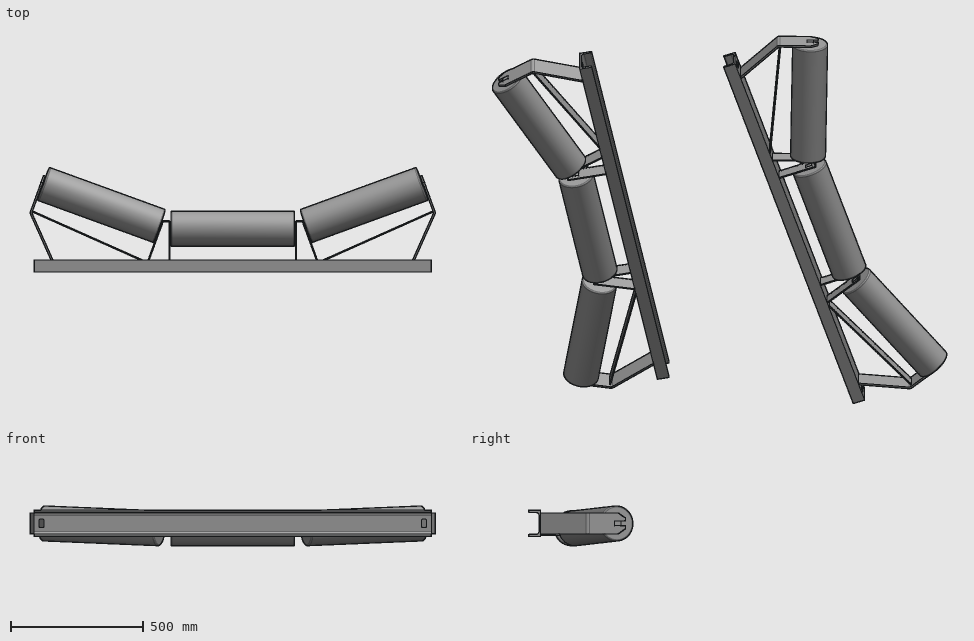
import cadquery as cq
import math


outer_width = 1531.0

channel_length = 1500.0
channel_height = 100.0
flange_depth = 46.0
web_thickness = 6.0
flange_thickness = 9.0
root_radius = 10.0
tip_radius = 5.0
slot_width = 18.0
slot_height = 32.0
slot_corner = 5.0
slot_from_middle = 723.0

roller_diameter = 133.0
roller_length = 467.0
roller_end_gap = 3.0
roller_edge_radius = 5.0
trough_angle = 20.0
middle_axis_y = 118.0
roller_z_drop = 18.0
shaft_across_flats = 18.0
shaft_depth = 25.0

outer_height = 80.0
outer_thickness = 8.0
bend_radius = 17.0
bend_y = 178.0
outer_foot_x = 687.0
outer_leg_length = 152.0
shaft_along_leg = 121.0
tip_cut_length = 28.0
tip_cut_height = 18.0
inner_height = 57.0
inner_middle_z = -17.0
inner_thickness = 5.0
inner_top_y = 148.0
inner_bend_radius = 6.0
brace_height = 50.0
brace_thickness = 5.0
brace_foot_x = 340.0
brace_angle = 24.0

sin_trough = math.sin(math.radians(trough_angle))
cos_trough = math.cos(math.radians(trough_angle))
tan_trough = sin_trough / cos_trough
leg_direction = cq.Vector(sin_trough, cos_trough, 0)
inward = cq.Vector(cos_trough, -sin_trough, 0)

lean_angle = math.degrees(math.atan((outer_width / 2 - outer_foot_x) / bend_y))
half_turn = math.radians((trough_angle + lean_angle) / 2)
bend_corner_x = -(outer_width / 2 + bend_radius * (1 / math.cos(half_turn) - 1))
bend_corner = cq.Vector(bend_corner_x, bend_y, 0)

shaft_reach_outer = roller_end_gap + outer_thickness
shaft_reach_inner = roller_end_gap + inner_thickness
tilt = math.asin(roller_z_drop / roller_length)
roller_axis = inward * math.cos(tilt) + cq.Vector(0, 0, -math.sin(tilt))
side_roller_start = bend_corner + leg_direction * shaft_along_leg + inward * shaft_reach_outer
side_plane = cq.Plane(origin=side_roller_start, xDir=leg_direction, normal=roller_axis)
middle_plane = cq.Plane(
    origin=(-roller_length / 2, middle_axis_y, -roller_z_drop), xDir=(0, 1, 0), normal=(1, 0, 0)
)


def upright_strip(outline, height, middle_z=0.0):
    """Extrude a plan outline to a height centred on middle_z."""
    base = cq.Workplane("XY").workplane(offset=middle_z - height / 2)
    return base.polyline(outline).close().extrude(height)


def shaft(plane, start, end):
    """Flatted shaft between two distances along a roller's axis."""
    section = cq.Workplane(plane).workplane(offset=start).rect(shaft_depth, shaft_across_flats)
    return section.extrude(end - start)


def make_roller(plane, start_reach, end_reach):
    drum = cq.Workplane(plane).circle(roller_diameter / 2).extrude(roller_length)
    drum = drum.edges().fillet(roller_edge_radius)
    return drum.union(shaft(plane, -start_reach, roller_length + end_reach))


def make_channel():
    half_height = channel_height / 2
    inside_z = half_height - flange_thickness
    section = [
        (0, -half_height),
        (0, half_height),
        (-flange_depth, half_height),
        (-flange_depth, inside_z),
        (-web_thickness, inside_z),
        (-web_thickness, -inside_z),
        (-flange_depth, -inside_z),
        (-flange_depth, -half_height),
    ]
    bar = cq.Workplane("YZ").polyline(section).close().extrude(channel_length / 2, both=True)
    for y, z, radius in ((-web_thickness, inside_z, root_radius), (-flange_depth, inside_z, tip_radius)):
        for level in (z, -z):
            bar = bar.edges(cq.NearestToPointSelector((0, y, level))).fillet(radius)
    slots = (
        cq.Workplane("XZ")
        .pushPoints([(-slot_from_middle, 0), (slot_from_middle, 0)])
        .rect(slot_width, slot_height)
        .extrude(web_thickness)
        .edges("|Y")
        .fillet(slot_corner)
    )
    return bar.cut(slots)


def make_outer_bracket():
    """Left outer bracket: leaning foot, bend, and a leg square to the roller in plan."""
    bisector_turn = math.radians((trough_angle - lean_angle) / 2)
    bisector = cq.Vector(math.cos(bisector_turn), -math.sin(bisector_turn), 0)
    inner_corner = bend_corner + bisector * (outer_thickness / math.cos(half_turn))
    tip = bend_corner + leg_direction * outer_leg_length
    inner_tip = tip + inward * outer_thickness
    foot_width = outer_thickness / math.cos(math.radians(lean_angle))
    outline = [
        (-outer_foot_x, 0),
        (bend_corner.x, bend_corner.y),
        (tip.x, tip.y),
        (inner_tip.x, inner_tip.y),
        (inner_corner.x, inner_corner.y),
        (foot_width - outer_foot_x, 0),
    ]
    strip = upright_strip(outline, outer_height)
    inside_radius = bend_radius - outer_thickness
    for corner, radius in ((inner_corner, inside_radius), (bend_corner, bend_radius)):
        strip = strip.edges(cq.NearestToPointSelector(corner.toTuple())).fillet(radius)

    tip_plane = cq.Plane(origin=tip, xDir=leg_direction, normal=inward)
    for half_height in (outer_height / 2, -outer_height / 2):
        cut_z = half_height - math.copysign(tip_cut_height, half_height)
        triangle = [(-tip_cut_length, half_height), (0, half_height), (0, cut_z)]
        bevel = cq.Workplane(tip_plane).polyline(triangle).close().extrude(outer_thickness)
        strip = strip.cut(bevel)

    slot_length = outer_leg_length
    slot = (
        cq.Workplane(side_plane)
        .workplane(offset=-2 * shaft_reach_outer)
        .center((slot_length - shaft_depth) / 2, 0)
        .rect(slot_length, shaft_across_flats)
        .extrude(2 * shaft_reach_outer)
    )
    return strip.cut(slot)


def make_inner_bracket():
    """Left inner bracket: leg square to the side roller, top, and upright leg by the middle roller."""
    upright_x = -(roller_length / 2 + roller_end_gap)
    roller_span = roller_length * math.cos(tilt) + shaft_reach_outer + roller_end_gap
    sloped_face = bend_corner + inward * roller_span
    foot_x = sloped_face.x - sloped_face.y * tan_trough
    foot_width = inner_thickness / cos_trough
    under_y = inner_top_y - inner_thickness
    outline = [
        (foot_x, 0),
        (foot_x + inner_top_y * tan_trough, inner_top_y),
        (upright_x, inner_top_y),
        (upright_x, 0),
        (upright_x - inner_thickness, 0),
        (upright_x - inner_thickness, under_y),
        (foot_x + foot_width + under_y * tan_trough, under_y),
        (foot_x + foot_width, 0),
    ]
    strip = upright_strip(outline, inner_height, inner_middle_z)
    for corner in outline[1:3]:
        bend = cq.NearestToPointSelector((*corner, inner_middle_z))
        strip = strip.edges(bend).fillet(inner_bend_radius)
    hole_reach = 2 * shaft_reach_inner
    strip = strip.cut(shaft(side_plane, roller_length, roller_length + hole_reach))
    return strip.cut(shaft(middle_plane, -hole_reach, 0))


def make_brace(bracket):
    """Left brace: from the channel web up into the bend of the outer bracket."""
    slope = math.radians(brace_angle)
    foot_width = brace_thickness / math.sin(slope)
    reach = outer_width / 2 - outer_thickness / 2 - brace_foot_x
    rise = reach * math.tan(slope)
    outline = [
        (-brace_foot_x, 0),
        (-brace_foot_x - foot_width, 0),
        (-brace_foot_x - reach, rise - foot_width * math.tan(slope)),
        (-brace_foot_x - reach, rise),
    ]
    return upright_strip(outline, brace_height).cut(bracket)


channel = make_channel()
middle_roller = make_roller(middle_plane, shaft_reach_inner, shaft_reach_inner)
side_roller = make_roller(side_plane, shaft_reach_outer, shaft_reach_inner)
outer_bracket = make_outer_bracket()
inner_bracket = make_inner_bracket()
brace = make_brace(outer_bracket)

bodies = [channel.val(), middle_roller.val()]
for left_body in (side_roller, outer_bracket, inner_bracket, brace):
    bodies += [left_body.val(), left_body.mirror("YZ").val()]
result = cq.Compound.makeCompound(bodies)